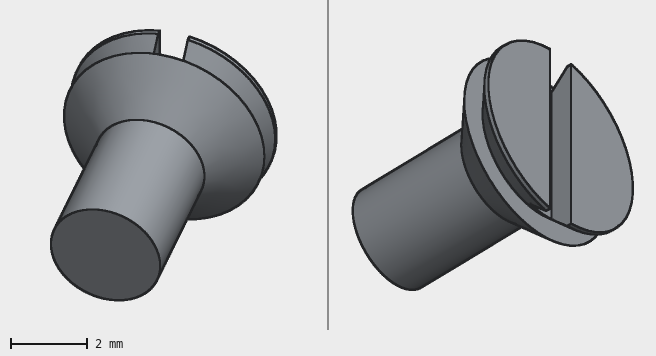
import cadquery as cq

total_length = 6.0
head_radius = 2.8
shank_radius = 1.5
rim_thickness = 0.145
upper_head_depth = 0.905
lower_cone_radius = 2.75
slot_width = 0.81
slot_depth = 0.7

upper_cone_end_radius = head_radius - (upper_head_depth - rim_thickness)
head_depth = upper_head_depth + lower_cone_radius - shank_radius


def make_body():
    """Revolve the half profile of both head cones and the shank about Y."""
    return (
        cq.Workplane("XY")
        .moveTo(0, 0)
        .lineTo(head_radius, 0)
        .lineTo(head_radius, -rim_thickness)
        .lineTo(upper_cone_end_radius, -upper_head_depth)
        .lineTo(lower_cone_radius, -upper_head_depth)
        .lineTo(shank_radius, -head_depth)
        .lineTo(shank_radius, -total_length)
        .lineTo(0, -total_length)
        .close()
        .revolve(360, (0, 0, 0), (0, 1, 0))
    )


def make_slot():
    """Screwdriver slot running along Z across the whole head face."""
    slot_length = 2 * head_radius
    return cq.Workplane("XY").box(
        slot_width, slot_depth, slot_length
    ).translate((0, -slot_depth / 2, 0))


result = make_body().cut(make_slot())